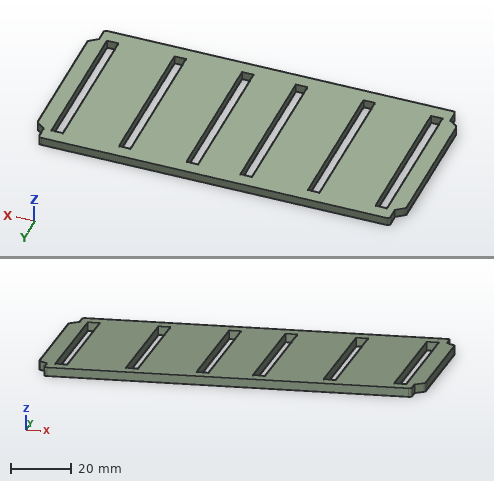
import cadquery as cq

overall_length = 131.0
plate_width = 62.0
thickness = 3.0
body_length = 124.7
corner_radius = 1.0

tab_root_width = 51.9
tab_corner_radius = 1.0
shoulder_drop = 2.4

slot_length = 52.0
slot_width = 4.0
slot_centers = (-57.5, -33.5, -9.5, 9.5, 33.5, 57.5)


def make_body():
    """Rectangular plate with rounded vertical corners."""
    body = cq.Workplane("XY").box(body_length, plate_width, thickness)
    return body.edges("|Z").fillet(corner_radius)


def make_tabs():
    """One bar with sloping shoulders, running through the body and projecting at both ends."""
    tip_x = overall_length / 2
    root_x = body_length / 2
    root_y = tab_root_width / 2
    tip_y = root_y - shoulder_drop
    bar = (
        cq.Workplane("XY")
        .workplane(offset=-thickness / 2)
        .polyline([
            (-tip_x, -tip_y), (-root_x, -root_y), (root_x, -root_y), (tip_x, -tip_y),
            (tip_x, tip_y), (root_x, root_y), (-root_x, root_y), (-tip_x, tip_y),
        ])
        .close()
        .extrude(thickness)
    )
    return bar.edges("|Z and (<X or >X)").fillet(tab_corner_radius)


def make_slots():
    """Row of square-ended slots passing right through the plate."""
    return (
        cq.Workplane("XY")
        .pushPoints([(x, 0) for x in slot_centers])
        .box(slot_width, slot_length, thickness)
    )


result = make_body().union(make_tabs()).cut(make_slots())